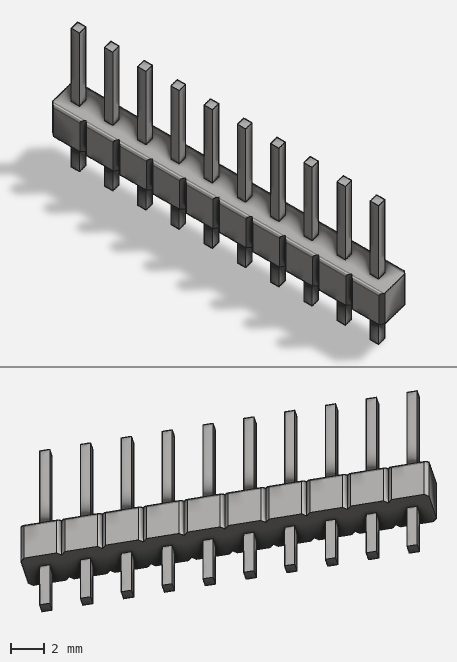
import cadquery as cq

pin_count = 10
body_length = 25.4
body_width = 2.5
body_height = 2.82
total_height = 12.7

pin_size = 0.64
pin_tail = 3.18
first_pin_offset = 1.22

corner_cut = 0.25
top_edge_radius = 0.2

pitch = body_length / pin_count


def housing_cell(index):
    """One cell of the housing: a block with cut corners and rounded long upper edges."""
    center_x = (index + 0.5) * pitch - body_length / 2
    block_centering = (True, True, False)
    cut_block = cq.Workplane("XY").box(pitch, body_width, body_height, centered=block_centering)
    cut_block = cut_block.edges("|Z").chamfer(corner_cut)
    rounded_block = cq.Workplane("XY").box(pitch, body_width, body_height, centered=block_centering)
    rounded_block = rounded_block.edges("|X and >Z").fillet(top_edge_radius)
    return rounded_block.intersect(cut_block).translate((center_x, 0, 0))


def pin(index):
    """One square pin passing through the housing."""
    center_x = first_pin_offset + index * pitch - body_length / 2
    blank = cq.Workplane("XY").box(pin_size, pin_size, total_height, centered=(True, True, False))
    return blank.translate((center_x, 0, -pin_tail))


housing = housing_cell(0)
for cell_index in range(1, pin_count):
    housing = housing.union(housing_cell(cell_index))
housing = housing.clean()

result = housing
for pin_index in range(pin_count):
    result = result.union(pin(pin_index))